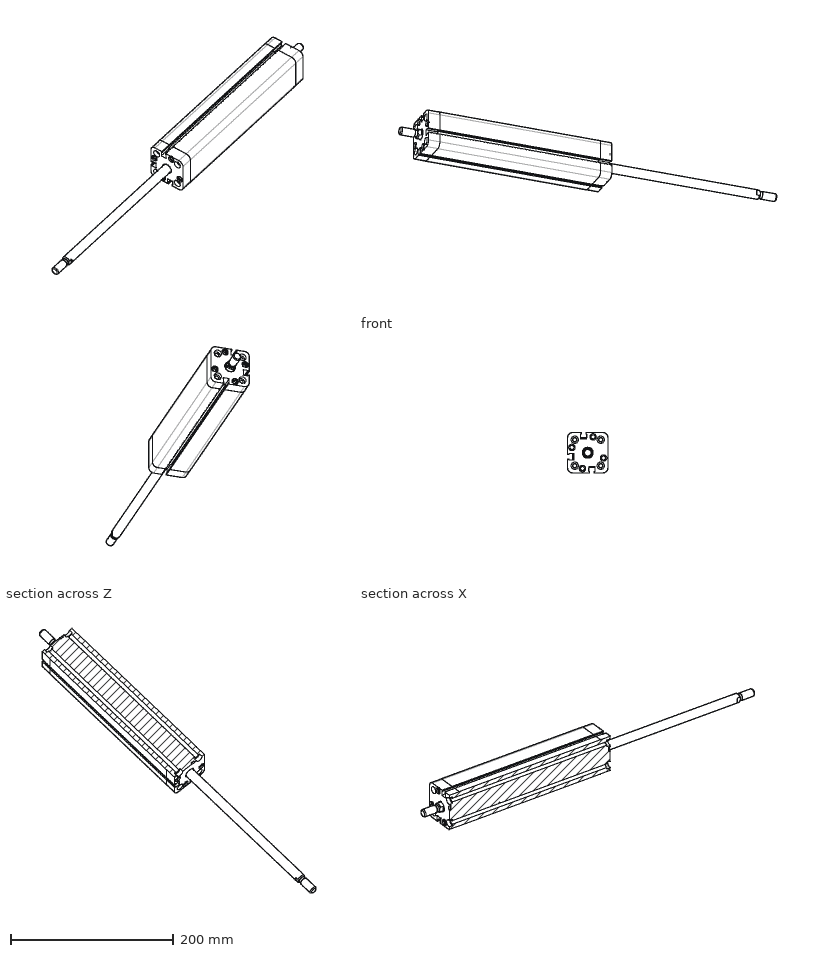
import cadquery as cq

total_length = 500.5
front_rod_length = 228.0
rear_rod_length = 28.0
cap_length = 15.0

body_size = 50.0
corner_radius = 6.5
cap_inset = 0.15

rod_diameter = 12.0
thread_diameter = 10.0
thread_length = 19.0
thread_tip_diameter = 8.0
thread_tip_length = 1.5
relief_diameter = 8.5
relief_length = 3.0
shoulder_diameter = 10.0
shoulder_chamfer_length = 1.5
flat_width = 10.0
flat_length = 5.0
flat_runout = 1.0

rod_recess_diameter = 13.5
rod_recess_depth = 2.0

mount_offset = 16.0
mount_core_diameter = 4.9
mount_bore_diameter = 9.0
mount_bore_depth = 5.0

side_hole_offset = 6.5
side_hole_reach = 19.5
side_hole_diameter = 8.0
side_hole_depth = 2.0
side_core_diameter = 4.9
side_core_depth = 5.0

slot_offset = 5.0
slot_mouth = 5.5
slot_width = 7.5
slot_lip = 2.0
barrel_slot_depth = 6.5
cap_slot_depth = 8.0
slot_turns = (0, -90, 180)

front_tip = -total_length / 2
rear_tip = total_length / 2
front_face = front_tip + front_rod_length
rear_face = rear_tip - rear_rod_length
body_length = rear_face - front_face


def section(y):
    """Workplane at the given Y with local x along +X, local y along +Z and normal along -Y."""
    return cq.Workplane("XZ", origin=(0, y, 0))


def rounded_block(y_rear, length, inset):
    size = body_size - 2 * inset
    block = section(y_rear).rect(size, size).extrude(length)
    return block.edges("|Y").fillet(corner_radius - inset)


def make_body():
    barrel = rounded_block(rear_face - cap_length, body_length - 2 * cap_length, 0)
    rear_cap = rounded_block(rear_face, cap_length, cap_inset)
    front_cap = rounded_block(front_face + cap_length, cap_length, cap_inset)
    return barrel.union(rear_cap).union(front_cap)


def make_slot(y_rear, length, depth):
    """T-slot opening through the top side over the given stretch of the body."""
    top = body_size / 2
    mouth = section(y_rear).center(-slot_offset, top - slot_lip / 2)
    mouth = mouth.rect(slot_mouth, slot_lip).extrude(length)
    room_height = depth - slot_lip
    room = section(y_rear).center(-slot_offset, top - slot_lip - room_height / 2)
    room = room.rect(slot_width, room_height).extrude(length)
    return mouth.union(room)


def cut_slots(body):
    slots = [
        make_slot(rear_face, body_length, barrel_slot_depth),
        make_slot(rear_face, cap_length, cap_slot_depth),
        make_slot(front_face + cap_length, cap_length, cap_slot_depth),
    ]
    for turn in slot_turns:
        for slot in slots:
            body = body.cut(slot.rotate((0, 0, 0), (0, 1, 0), turn))
    return body


def cut_end_holes(body):
    corners = [(sx * mount_offset, sz * mount_offset) for sx in (-1, 1) for sz in (-1, 1)]
    sides = [
        (side_hole_offset, side_hole_reach),
        (-side_hole_reach, side_hole_offset),
        (-side_hole_offset, -side_hole_reach),
        (side_hole_reach, -side_hole_offset),
    ]
    blind_holes = [
        (corners, mount_bore_diameter, mount_bore_depth),
        (sides, side_hole_diameter, side_hole_depth),
        (sides, side_core_diameter, side_core_depth),
        ([(0, 0)], rod_recess_diameter, rod_recess_depth),
    ]
    cores = section(rear_face).pushPoints(corners).circle(mount_core_diameter / 2).extrude(body_length)
    body = body.cut(cores)
    for face, inward in ((front_face, -1), (rear_face, 1)):
        for points, diameter, depth in blind_holes:
            body = body.cut(section(face).pushPoints(points).circle(diameter / 2).extrude(inward * depth))
    return body


def make_front_half_rod():
    """Half rod from the front tip to Y = 0, with thread, relief groove and wrench flats."""
    thread_end = front_tip + thread_length
    shoulder = thread_end + relief_length
    profile = [
        (0, front_tip),
        (thread_tip_diameter / 2, front_tip),
        (thread_diameter / 2, front_tip + thread_tip_length),
        (thread_diameter / 2, thread_end),
        (relief_diameter / 2, thread_end),
        (relief_diameter / 2, shoulder),
        (shoulder_diameter / 2, shoulder),
        (rod_diameter / 2, shoulder + shoulder_chamfer_length),
        (rod_diameter / 2, 0),
        (0, 0),
    ]
    rod = cq.Workplane("XY").polyline(profile).close().revolve(360, (0, 0, 0), (0, 1, 0))
    flat_end = shoulder + flat_length
    outline = [
        (flat_width / 2, shoulder),
        (flat_width / 2, flat_end),
        (rod_diameter / 2, flat_end + flat_runout),
        (rod_diameter / 2, shoulder),
    ]
    flat = cq.Workplane("XY").polyline(outline).close().extrude(rod_diameter / 2, both=True)
    rod = rod.cut(flat).cut(flat.mirror("YZ"))
    return rod


front_half_rod = make_front_half_rod()
rod = front_half_rod.union(front_half_rod.mirror("XZ"))
result = cut_end_holes(cut_slots(make_body())).union(rod)